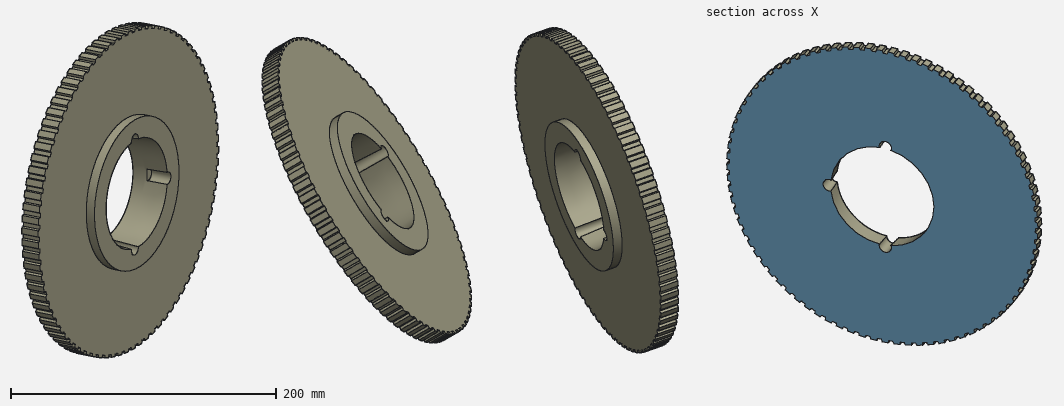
import cadquery as cq
import math


tip_diameter = 254.0
rim_width = 14.7
tooth_count = 84
groove_depth = 2.0
groove_bottom_width = 3.0
groove_flank_angle = 20.0

hub_diameter = 118.9
hub_width = 29.5
bore_diameter_small = 81.8
bore_taper_angle = 4.0

screw_hole_diameter = 9.7
screw_circle_radius = 43.2
through_hole_offset_y = -2.5
blind_hole_depth = 17.3

pitch_angle = 360.0 / tooth_count
first_groove_angle = pitch_angle / 4
tip_radius = tip_diameter / 2
rear_face_x = hub_width / 2
front_face_x = -rear_face_x


def disc(diameter, width):
    """Solid disc about the X axis, centred on the origin."""
    return cq.Workplane("YZ").circle(diameter / 2).extrude(width / 2, both=True)


def toothed_rim():
    """Disc whose edge is cut by evenly spaced trapezoidal belt grooves."""
    root_radius = tip_radius - groove_depth
    bottom_half_width = groove_bottom_width / 2
    mouth_half_width = bottom_half_width + groove_depth * math.tan(math.radians(groove_flank_angle))
    mouth_half_angle = math.asin(mouth_half_width / tip_radius)

    def point(radius, offset, angle):
        """Point at a radial distance and a sideways offset from a groove centreline."""
        return (
            radius * math.cos(angle) - offset * math.sin(angle),
            radius * math.sin(angle) + offset * math.cos(angle),
        )

    mouth_radius = tip_radius * math.cos(mouth_half_angle)
    start = math.radians(first_groove_angle)
    pitch = math.radians(pitch_angle)
    outline = cq.Workplane("YZ").moveTo(*point(mouth_radius, -mouth_half_width, start))
    for groove in range(tooth_count):
        angle = start + groove * pitch
        next_angle = angle + pitch
        outline = (
            outline.lineTo(*point(root_radius, -bottom_half_width, angle))
            .lineTo(*point(root_radius, bottom_half_width, angle))
            .lineTo(*point(mouth_radius, mouth_half_width, angle))
            .threePointArc(
                point(tip_radius, 0, angle + pitch / 2),
                point(mouth_radius, -mouth_half_width, next_angle),
            )
        )
    return outline.close().extrude(rim_width / 2, both=True)


def tapered_bore():
    """Cone frustum through the hub, wider at the +X face."""
    small_radius = bore_diameter_small / 2
    large_radius = small_radius + hub_width * math.tan(math.radians(bore_taper_angle))
    return cq.Workplane(
        cq.Solid.makeCone(
            small_radius,
            large_radius,
            hub_width,
            pnt=cq.Vector(front_face_x, 0, 0),
            dir=cq.Vector(1, 0, 0),
        )
    )


def screw_holes(centres, depth):
    """Round holes sunk from the +X face to the given depth."""
    return (
        cq.Workplane("YZ", origin=(rear_face_x, 0, 0))
        .pushPoints(centres)
        .circle(screw_hole_diameter / 2)
        .extrude(-depth)
    )


through_hole_centres = [
    (through_hole_offset_y, screw_circle_radius),
    (through_hole_offset_y, -screw_circle_radius),
]
blind_hole_centres = [(screw_circle_radius, 0)]

result = (
    toothed_rim()
    .union(disc(hub_diameter, hub_width))
    .cut(tapered_bore())
    .cut(screw_holes(through_hole_centres, hub_width))
    .cut(screw_holes(blind_hole_centres, blind_hole_depth))
)